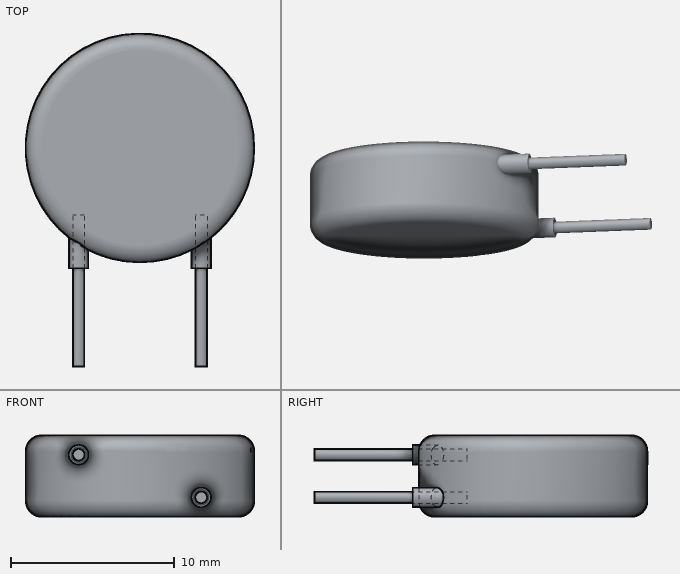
import cadquery as cq

body_diameter = 14.0
body_radius = body_diameter / 2
body_height = 5.0
edge_radius = 1.0

overall_length = 20.38
lead_tip_y = body_radius - overall_length

lead_diameter = 0.71
collar_diameter = 1.2
collar_end_y = -7.38
lead_spacing = 7.5
lead_height_offset = 1.3
embedded_end_y = -4.08

lead_axes = [
    (-lead_spacing / 2, body_height / 2 + lead_height_offset),
    (lead_spacing / 2, body_height / 2 - lead_height_offset),
]


def rod_along_y(axis, diameter, start_y, end_y):
    """Cylinder parallel to Y, running from start_y toward -Y until end_y."""
    x, z = axis
    return (
        cq.Workplane("XZ", origin=(x, start_y, z))
        .circle(diameter / 2)
        .extrude(start_y - end_y)
    )


def make_lead(axis):
    """Straight round wire with its inner end buried in the body."""
    return rod_along_y(axis, lead_diameter, embedded_end_y, lead_tip_y)


def make_body():
    """Rounded disc with a collar and a blind wire hole for each lead."""
    body = (
        cq.Workplane("XY")
        .circle(body_radius)
        .extrude(body_height)
        .edges()
        .fillet(edge_radius)
    )
    for axis in lead_axes:
        body = body.union(rod_along_y(axis, collar_diameter, embedded_end_y, collar_end_y))
    for axis in lead_axes:
        body = body.cut(make_lead(axis))
    return body


body = make_body()
leads = [make_lead(axis) for axis in lead_axes]

result = cq.Compound.makeCompound([body.val(), *[lead.val() for lead in leads]])